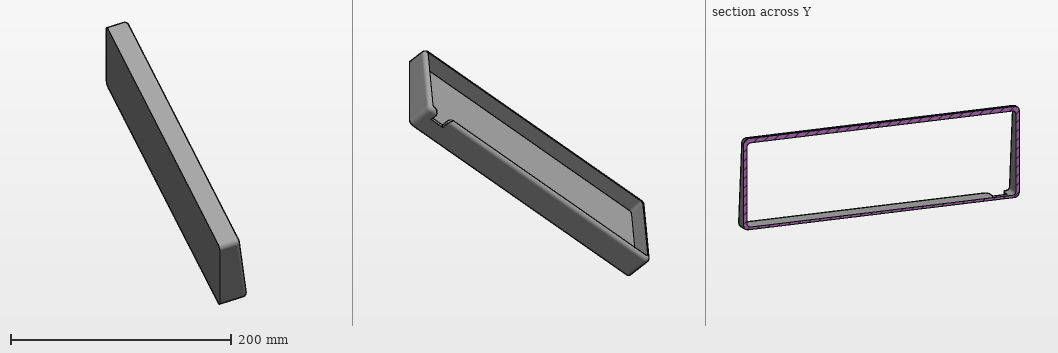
import cadquery as cq
import math

LENGTH = 276.72
DEPTH = 27.19
HEIGHT = 86.2

CORNER_RADIUS = 5.0
RIM_RADIUS = 4.0
POCKET_CORNER_RADIUS = 3.0

WALL = 4.0
POCKET_DEPTH = 15.0

REAR_SLOPE = math.radians(5.0)

NOTCH_WIDTH = 14.25
NOTCH_DEPTH = 10.0
NOTCH_CENTRE_FROM_END = 18.2
NOTCH_LIP_RADIUS = 4.25

CORNER_SETBACK = RIM_RADIUS * (math.tan(REAR_SLOPE) + 1 / math.cos(REAR_SLOPE) - 1)
BOTTOM_DEPTH = DEPTH + CORNER_SETBACK
TOP_DEPTH = BOTTOM_DEPTH - HEIGHT * math.tan(REAR_SLOPE)
REAR_FACE_HEIGHT = HEIGHT / math.cos(REAR_SLOPE)
NOTCH_FLOOR = DEPTH - NOTCH_DEPTH


def wedge_body():
    """Solid wedge with a flat front, rounded corners and a rounded rear rim."""
    side_profile = [(0, 0), (BOTTOM_DEPTH, 0), (TOP_DEPTH, HEIGHT), (0, HEIGHT)]
    wedge = cq.Workplane("YZ").polyline(side_profile).close().extrude(LENGTH)
    wedge = wedge.edges("|Y").fillet(CORNER_RADIUS)
    return wedge.faces(">Y").edges().fillet(RIM_RADIUS)


def rear_pocket():
    """Rounded rectangular cavity sunk square to the sloped rear face."""
    rear_face = cq.Plane(
        origin=(0, BOTTOM_DEPTH, 0),
        xDir=(1, 0, 0),
        normal=(0, -math.cos(REAR_SLOPE), -math.sin(REAR_SLOPE)),
    )
    return (
        cq.Workplane(rear_face)
        .center(LENGTH / 2, REAR_FACE_HEIGHT / 2)
        .rect(LENGTH - 2 * WALL, REAR_FACE_HEIGHT - 2 * WALL)
        .extrude(POCKET_DEPTH)
        .edges(cq.selectors.ParallelDirSelector(rear_face.zDir))
        .fillet(POCKET_CORNER_RADIUS)
    )


def cable_notch():
    """Cutter for the bottom wall notch, flaring out in arcs at the rear lip."""
    centre = LENGTH - NOTCH_CENTRE_FROM_END
    left = centre - NOTCH_WIDTH / 2
    right = centre + NOTCH_WIDTH / 2
    lip_start = DEPTH - NOTCH_LIP_RADIUS
    return (
        cq.Workplane("XY")
        .moveTo(left, NOTCH_FLOOR)
        .lineTo(right, NOTCH_FLOOR)
        .lineTo(right, lip_start)
        .radiusArc((right + NOTCH_LIP_RADIUS, DEPTH), NOTCH_LIP_RADIUS)
        .lineTo(left - NOTCH_LIP_RADIUS, DEPTH)
        .radiusArc((left, lip_start), NOTCH_LIP_RADIUS)
        .close()
        .extrude(WALL)
    )


result = wedge_body().cut(rear_pocket()).cut(cable_notch())